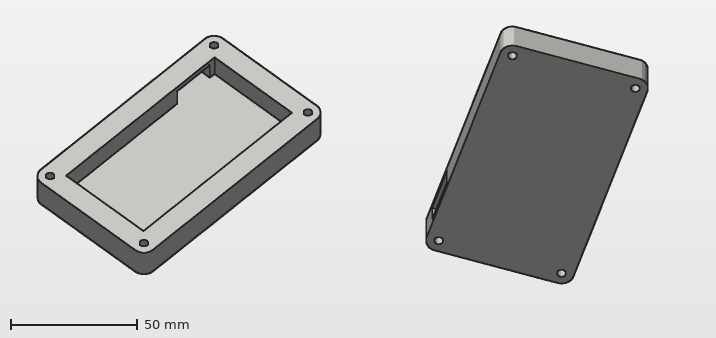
import cadquery as cq

length = 104.4
width = 61.2
height = 13.0
corner_radius = 5.0

rim = 9.5
floor_thickness = 3.0

hole_diameter = 3.4
hole_inset = corner_radius

window_length = 18.8
window_height = 7.5
window_centre_y = 30.6
window_bottom = floor_thickness


def make_block():
    block = cq.Workplane("XY").box(width, length, height, centered=(True, True, False))
    return block.edges("|Z").fillet(corner_radius)


def make_pocket():
    return (
        cq.Workplane("XY", origin=(0, 0, floor_thickness))
        .rect(width - 2 * rim, length - 2 * rim)
        .extrude(height - floor_thickness)
    )


def make_screw_holes():
    return (
        cq.Workplane("XY")
        .rect(width - 2 * hole_inset, length - 2 * hole_inset, forConstruction=True)
        .vertices()
        .circle(hole_diameter / 2)
        .extrude(height)
    )


def make_window():
    return (
        cq.Workplane("XY", origin=(-width / 2, window_centre_y, window_bottom))
        .box(rim, window_length, window_height, centered=(False, True, False))
    )


result = make_block().cut(make_pocket()).cut(make_screw_holes()).cut(make_window())